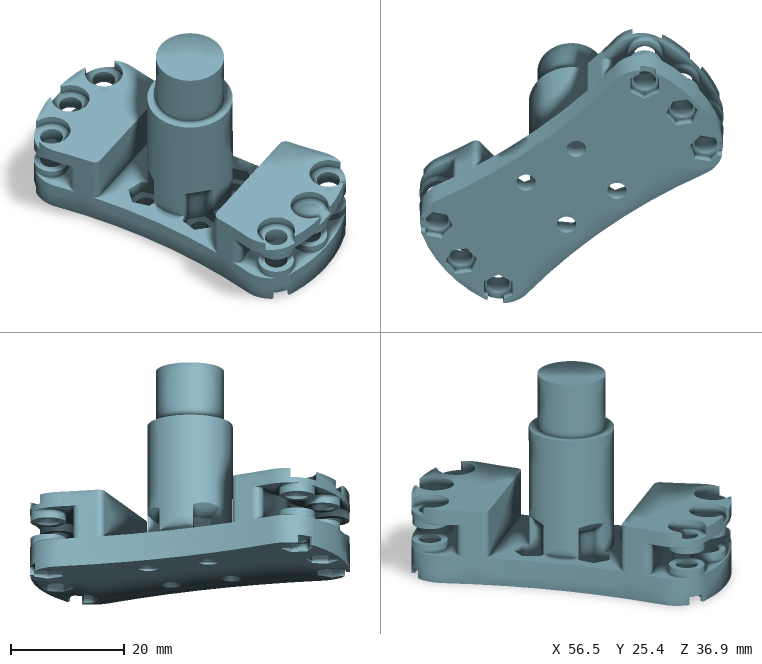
import cadquery as cq
import math

half_length = 28.25
end_radius = 26.0
corner_radius = 5.9
total_width = 25.4
waist_half_width = 10.6

base_height = 5.05
clevis_height = 13.6
clevis_cavity_top = 10.95
shoulder_height = 26.9
total_height = 36.9

shaft_radius = 7.5
spigot_radius = 6.0

clevis_inner_x = 12.15
edge_round = 1.2
wall_round = 1.3
roller_space_radius = 6.0

screw_circle = 24.9
screw_angle = 20.0
screw_radius = 4.0 / 2
boss_radius = 3.1
boss_height = 1.45

head_radius = 3.35
head_depth = 1.65
corner_head_slot = 5.4
middle_head_slot = 3.55

nut_circumradius = 2.9
nut_depth = 1.45
nut_slot = 2.8

skin_thickness = 0.1
skin_drop = 0.05

foot_circle = 8.0
foot_hole_radius = 1.7
foot_hex_circumradius = 6.3 / 2
foot_pocket_floor = 2.5
foot_roof_low = 8.75


def cylinder(x, y, radius, bottom, top):
    return cq.Workplane("XY", origin=(x, y, bottom)).circle(radius).extrude(top - bottom)


def hexagon(x, y, circumradius, flat_angle, bottom, top):
    """Hexagonal prism with one flat facing the direction flat_angle (degrees)."""
    prism = cq.Workplane("XY").polygon(6, 2 * circumradius).extrude(top - bottom)
    return prism.rotate((0, 0, 0), (0, 0, 1), flat_angle - 30).translate((x, y, bottom))


def slot_to_rim(x, y, width, angle, bottom, top):
    """Straight slot running from a screw hole outwards in the direction angle (degrees)."""
    length = 2 * head_radius
    box = cq.Workplane("XY").rect(length, width).extrude(top - bottom).translate((length / 2, 0, bottom))
    return box.rotate((0, 0, 0), (0, 0, 1), angle).translate((x, y, 0))


def outline(height):
    """Prism of the whole plan outline; neighbouring arcs are tangent."""
    center_distance = end_radius - corner_radius
    center_y = total_width / 2 - corner_radius
    end_center_x = half_length - end_radius
    center_x = end_center_x + math.sqrt(center_distance**2 - center_y**2)
    rise = waist_half_width - center_y
    waist_radius = (center_x**2 + rise**2 - corner_radius**2) / (2 * (corner_radius - rise))
    waist_share = waist_radius / (waist_radius + corner_radius)
    waist_center_y = waist_half_width + waist_radius
    waist_x = center_x * waist_share
    waist_y = waist_center_y + (center_y - waist_center_y) * waist_share
    end_x = end_center_x + (center_x - end_center_x) * end_radius / center_distance
    end_y = center_y * end_radius / center_distance
    waist_angle = math.atan2(waist_y - center_y, waist_x - center_x)
    end_angle = math.atan2(end_y - center_y, end_x - center_x)
    middle_angle = (waist_angle + end_angle) / 2
    corner_x = center_x + corner_radius * math.cos(middle_angle)
    corner_y = center_y + corner_radius * math.sin(middle_angle)
    return (
        cq.Workplane("XY")
        .moveTo(-waist_x, waist_y)
        .threePointArc((0, waist_half_width), (waist_x, waist_y))
        .threePointArc((corner_x, corner_y), (end_x, end_y))
        .threePointArc((half_length, 0), (end_x, -end_y))
        .threePointArc((corner_x, -corner_y), (waist_x, -waist_y))
        .threePointArc((0, -waist_half_width), (-waist_x, -waist_y))
        .threePointArc((-corner_x, -corner_y), (-end_x, -end_y))
        .threePointArc((-half_length, 0), (-end_x, end_y))
        .threePointArc((-corner_x, corner_y), (-waist_x, waist_y))
        .close()
        .extrude(height)
    )


def screw_places():
    """(x, y, outward angle, turn) of each screw hole; turn is 0 in the middle of an end, else -1 or 1."""
    places = []
    for end_angle in (0, 180):
        for turn in (-1, 0, 1):
            angle = end_angle + turn * screw_angle
            x = screw_circle * math.cos(math.radians(angle))
            y = screw_circle * math.sin(math.radians(angle))
            places.append((x, y, angle, turn))
    return places


def clevis(side):
    """Wall and upper plate at one end (side is +1 or -1), standing on the base."""
    reach = half_length - clevis_inner_x
    strip = cq.Workplane("XY").rect(reach, 2 * half_length).extrude(clevis_height)
    strip = strip.translate((side * (clevis_inner_x + reach / 2), 0, 0))
    block = outline(clevis_height).intersect(strip)
    inner_edge = "<X" if side > 0 else ">X"
    block = block.faces(inner_edge).edges("|Z").fillet(edge_round)
    below_plate = cylinder(0, 0, 2 * half_length, 0, clevis_cavity_top)
    plate = block.cut(below_plate)
    wall = block.intersect(below_plate)
    for x, y, _, _ in screw_places():
        wall = wall.cut(cylinder(x, y, roller_space_radius, 0, clevis_cavity_top))
    wall = cq.Workplane("XY").add(max(wall.solids().vals(), key=lambda piece: piece.Volume()))
    outer_edges = cq.selectors.BoxSelector(
        (side * (clevis_inner_x + 2 * edge_round), -half_length, 0),
        (side * half_length, half_length, clevis_cavity_top),
    )
    wall = wall.edges("|Z").edges(outer_edges).fillet(wall_round)
    return plate.union(wall)


def add_bosses(body):
    for x, y, _, _ in screw_places():
        body = body.union(cylinder(x, y, boss_radius, base_height, base_height + boss_height))
        body = body.union(cylinder(x, y, boss_radius, clevis_cavity_top - boss_height, clevis_cavity_top))
    return body


def cut_screw_holes(body):
    head_floor = clevis_height - head_depth
    for x, y, angle, turn in screw_places():
        slot_angle = angle + turn * screw_angle
        head_slot_width = corner_head_slot if turn else middle_head_slot
        head_slot = slot_to_rim(x, y, head_slot_width, slot_angle, head_floor, clevis_height)
        head_recess = cylinder(x, y, head_radius, head_floor, clevis_height).union(head_slot)
        nut_recess = hexagon(x, y, nut_circumradius, angle, 0, nut_depth)
        if turn:
            nut_recess = nut_recess.union(slot_to_rim(x, y, nut_slot, slot_angle, 0, nut_depth))
        body = body.cut(cylinder(x, y, screw_radius, 0, clevis_height))
        body = body.cut(head_recess).cut(nut_recess)
    skin_top = head_floor - skin_drop
    return body.union(cylinder(screw_circle, 0, screw_radius, skin_top - skin_thickness, skin_top))


def cut_foot_pockets(body):
    """Nut pockets reaching into the shaft under a roof that rises outwards at 45 degrees."""
    apothem = foot_hex_circumradius * math.cos(math.radians(30))
    near = foot_circle - apothem
    far = foot_circle + apothem
    hexagon_prism = hexagon(foot_circle, 0, foot_hex_circumradius, 0, foot_pocket_floor, shoulder_height)
    roofed = (
        cq.Workplane("XZ")
        .moveTo(near, foot_pocket_floor)
        .lineTo(far, foot_pocket_floor)
        .lineTo(far, foot_roof_low + far - near)
        .lineTo(near, foot_roof_low)
        .close()
        .extrude(foot_hex_circumradius, both=True)
    )
    pocket = hexagon_prism.intersect(roofed)
    pocket = pocket.union(cylinder(foot_circle, 0, foot_hole_radius, 0, foot_pocket_floor))
    for angle in (45, 135, 225, 315):
        body = body.cut(pocket.rotate((0, 0, 0), (0, 0, 1), angle))
    return body


body = outline(base_height)
body = body.union(clevis(1)).union(clevis(-1))
body = body.union(cylinder(0, 0, shaft_radius, 0, shoulder_height))
body = body.union(cylinder(0, 0, spigot_radius, 0, total_height))
body = add_bosses(body)
body = cut_screw_holes(body)
result = cut_foot_pockets(body)